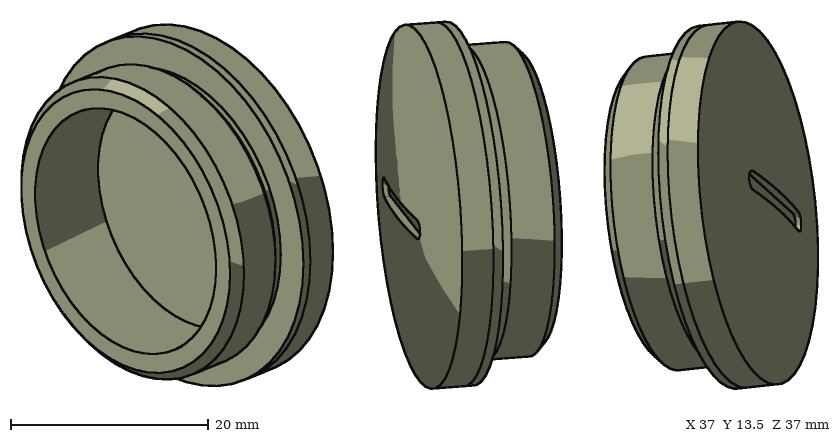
import cadquery as cq


head_diameter = 37.0
plug_diameter = 32.0
neck_diameter = 30.0
pocket_diameter = 26.0
washer_bore_diameter = 30.5

plug_length = 7.0
neck_length = 0.5
washer_thickness = 1.0
total_height = 13.5
dome_height = 2.25
pocket_depth = 9.0

bevel = (plug_diameter - neck_diameter) / 2

slot_length = 16.0
slot_width = 2.0
slot_depth = 1.0

neck_start = plug_length - neck_length
head_base = plug_length + washer_thickness
dome_base = total_height - dome_height

head_radius = head_diameter / 2
plug_radius = plug_diameter / 2
neck_radius = neck_diameter / 2

dome_radius = (head_radius**2 + dome_height**2) / (2 * dome_height)
dome_mid_radius = head_radius / 2
dome_mid_height = total_height - dome_radius + (dome_radius**2 - dome_mid_radius**2) ** 0.5


def cylinder_along_y(diameter, start, length):
    """Cylinder on the Y axis that runs from start toward +Y."""
    plane = cq.Workplane("XZ", origin=(0, start, 0))
    return plane.circle(diameter / 2).extrude(-length)


def make_cap():
    """Domed head with a bevelled, hollow plug below it and a screwdriver slot on top."""
    body = (
        cq.Workplane("XY")
        .moveTo(0, 0)
        .lineTo(neck_radius, 0)
        .lineTo(plug_radius, bevel)
        .lineTo(plug_radius, neck_start - bevel)
        .lineTo(neck_radius, neck_start)
        .lineTo(neck_radius, head_base)
        .lineTo(head_radius, head_base)
        .lineTo(head_radius, dome_base)
        .threePointArc((dome_mid_radius, dome_mid_height), (0, total_height))
        .close()
        .revolve(360, (0, 0, 0), (0, 1, 0))
    )
    pocket = cylinder_along_y(pocket_diameter, 0, pocket_depth)
    slot_plane = cq.Workplane("XZ", origin=(0, total_height, 0))
    slot = slot_plane.slot2D(slot_length, slot_width).extrude(slot_depth)
    return body.cut(pocket).cut(slot)


def make_washer():
    """Flat sealing ring around the neck, against the underside of the head."""
    disc = cylinder_along_y(head_diameter, plug_length, washer_thickness)
    bore = cylinder_along_y(washer_bore_diameter, plug_length, washer_thickness)
    return disc.cut(bore)


cap = make_cap()
washer = make_washer()

result = cq.Compound.makeCompound([cap.val(), washer.val()])